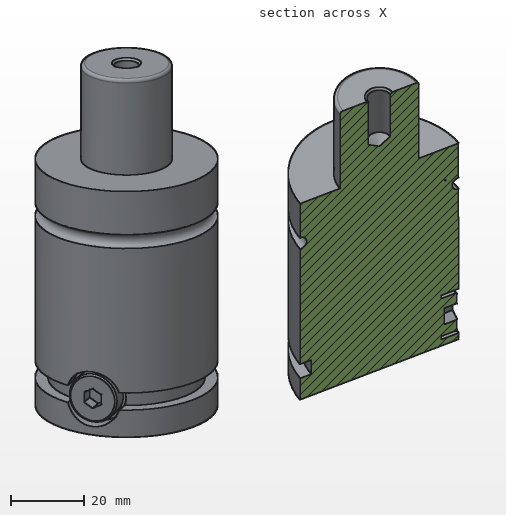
import cadquery as cq
import math

BODY_DIAMETER = 50.0
BODY_RADIUS = BODY_DIAMETER / 2
BODY_HEIGHT = 72.0
TOTAL_HEIGHT = 100.0

ROD_DIAMETER = 25.0
ROD_EDGE_RADIUS = 1.0
HOLE_DIAMETER = 6.8
HOLE_MOUTH_DIAMETER = 8.0
HOLE_DEPTH = 16.0
DRILL_POINT_ANGLE = 118.0

ROUND_GROOVE_RADIUS = 2.0
ROUND_GROOVE_Z = 57.3
SQUARE_GROOVE_BOTTOM = 8.0
SQUARE_GROOVE_WIDTH = 5.0
SQUARE_GROOVE_DIAMETER = 43.0

PLUG_Z = SQUARE_GROOVE_BOTTOM + SQUARE_GROOVE_WIDTH / 2
POCKET_DIAMETER = 16.0
POCKET_FLOOR = 19.5
PLUG_DIAMETER = 14.0
PLUG_FACE = 24.5
PLUG_CHAMFER = 0.5
HEX_ACROSS_FLATS = 5.0
HEX_DEPTH = 4.0


def disc(diameter, bottom, height):
    """Vertical cylinder on the Z axis."""
    return cq.Workplane("XY").workplane(offset=bottom).circle(diameter / 2).extrude(height)


def side_plane(distance):
    """Plane facing -Y at a distance from the axis, at plug height."""
    return cq.Workplane("XZ", origin=(0, -distance, PLUG_Z))


def side_cylinder(diameter, inner, outer):
    """Cylinder along -Y between two distances from the axis."""
    return side_plane(inner).circle(diameter / 2).extrude(outer - inner)


def make_body():
    body = disc(BODY_DIAMETER, 0, BODY_HEIGHT)
    round_groove = cq.Solid.makeTorus(
        BODY_RADIUS, ROUND_GROOVE_RADIUS, cq.Vector(0, 0, ROUND_GROOVE_Z), cq.Vector(0, 0, 1)
    )
    square_groove = disc(BODY_DIAMETER, SQUARE_GROOVE_BOTTOM, SQUARE_GROOVE_WIDTH).cut(
        disc(SQUARE_GROOVE_DIAMETER, SQUARE_GROOVE_BOTTOM, SQUARE_GROOVE_WIDTH)
    )
    return body.cut(cq.Workplane(round_groove)).cut(square_groove)


def make_rod():
    rod = disc(ROD_DIAMETER, BODY_HEIGHT, TOTAL_HEIGHT - BODY_HEIGHT)
    return rod.faces(">Z").edges().fillet(ROD_EDGE_RADIUS)


def make_rod_hole():
    """Drilled hole with a 45 degree mouth and a conical bottom."""
    radius = HOLE_DIAMETER / 2
    mouth_radius = HOLE_MOUTH_DIAMETER / 2
    shoulder = TOTAL_HEIGHT - HOLE_DEPTH
    tip = shoulder - radius / math.tan(math.radians(DRILL_POINT_ANGLE / 2))
    profile = [
        (0, tip),
        (radius, shoulder),
        (radius, TOTAL_HEIGHT - (mouth_radius - radius)),
        (mouth_radius, TOTAL_HEIGHT),
        (0, TOTAL_HEIGHT),
    ]
    return cq.Workplane("XZ").polyline(profile).close().revolve(360, (0, 0, 0), (0, 1, 0))


def make_plug():
    """Chamfered round plug with a hexagon socket, corners up and down."""
    plug = side_cylinder(PLUG_DIAMETER, POCKET_FLOOR, PLUG_FACE).faces("<Y").edges().chamfer(PLUG_CHAMFER)
    across_corners = HEX_ACROSS_FLATS / math.cos(math.pi / 6)
    socket = (
        side_plane(PLUG_FACE - HEX_DEPTH)
        .transformed(rotate=(0, 0, 90))
        .polygon(6, across_corners)
        .extrude(HEX_DEPTH)
    )
    return plug, socket


plug_pocket = side_cylinder(POCKET_DIAMETER, POCKET_FLOOR, BODY_RADIUS)
plug, hex_socket = make_plug()
result = make_body().union(make_rod()).cut(make_rod_hole())
result = result.cut(plug_pocket).union(plug).cut(hex_socket)